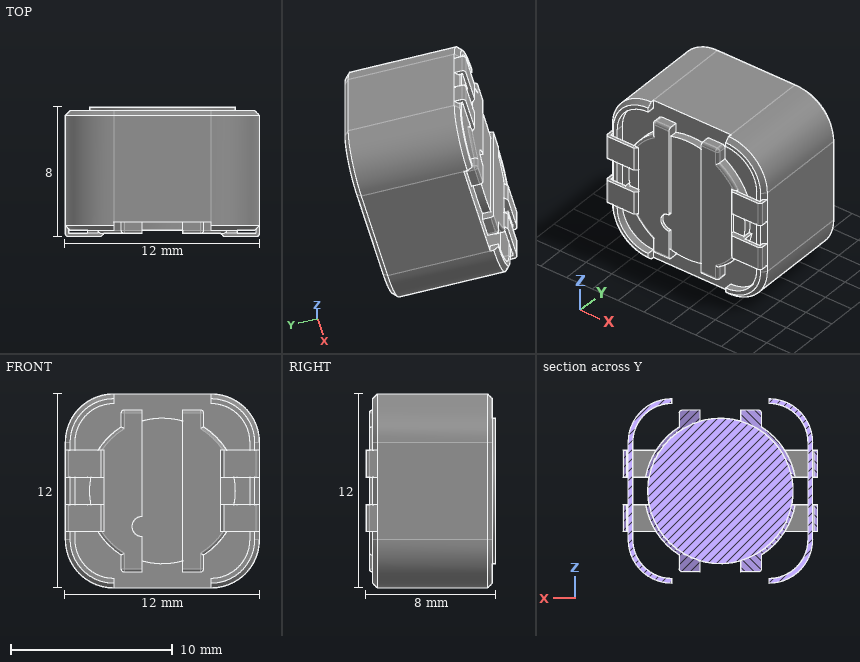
import cadquery as cq
import math

WIDTH = 12.0
HALF = WIDTH / 2
CORNER_RADIUS = 3.0
CAN_LENGTH = 7.4
CHAMFER = 0.3
RIM_WALL = 0.6
RECESS_DEPTH = 0.53
RIM_GAP_WIDTH = 2 * (HALF - CORNER_RADIUS)

CORE_RADIUS = 4.5
CORE_BACK_HEIGHT = 0.2

OVERALL_LENGTH = 8.0
STANDOFF = OVERALL_LENGTH - CAN_LENGTH - CORE_BACK_HEIGHT
PLATE_HEIGHT = 0.19
PLATE_RADIUS = 4.7
PLATE_INNER_X = 1.25
ARM_OUTER_X = 2.55
ARM_END_Z = 5.0
PLATE_FILLET = 0.19
PAD_EDGE_X = 3.6
CLIP_INNER_Z = 0.84
CLIP_OUTER_Z = 2.52
CLIP_THICKNESS = 0.23
CLIP_BEND_RADIUS = 0.2

NOTCH_RADIUS = 0.62
NOTCH_Z = -2.2

LEFT = -1
RIGHT = 1


def facing_plane(y):
    """XZ plane at height y whose normal points to -Y."""
    return cq.Workplane("XZ", origin=(0, y, 0))


def rounded_square(y, width, corner_radius, depth):
    """Rounded square prism that starts at y and runs depth towards -Y."""
    return facing_plane(y).rect(width, width).extrude(depth).edges("|Y").fillet(corner_radius)


def make_housing():
    can = rounded_square(CAN_LENGTH, WIDTH, CORNER_RADIUS, CAN_LENGTH)
    can = can.faces("<Y or >Y").chamfer(CHAMFER)

    recess = rounded_square(RECESS_DEPTH, WIDTH - 2 * RIM_WALL, CORNER_RADIUS - RIM_WALL, RECESS_DEPTH)
    rim_gap = facing_plane(RECESS_DEPTH).rect(RIM_GAP_WIDTH, WIDTH).extrude(RECESS_DEPTH)
    can = can.cut(recess).cut(rim_gap)

    core_length = CAN_LENGTH + CORE_BACK_HEIGHT
    core = facing_plane(core_length).circle(CORE_RADIUS).extrude(core_length)
    return can.union(core)


def plate_outline(side):
    """Bar with two straight ends and a round outer edge between them."""
    inner_x = side * PLATE_INNER_X
    outer_x = side * ARM_OUTER_X
    shoulder_z = math.sqrt(PLATE_RADIUS**2 - ARM_OUTER_X**2)
    return (
        facing_plane(RECESS_DEPTH)
        .moveTo(inner_x, -ARM_END_Z)
        .lineTo(outer_x, -ARM_END_Z)
        .lineTo(outer_x, -shoulder_z)
        .threePointArc((side * PLATE_RADIUS, 0), (outer_x, shoulder_z))
        .lineTo(outer_x, ARM_END_Z)
        .lineTo(inner_x, ARM_END_Z)
        .close()
    )


def make_plate(side):
    square_edged = plate_outline(side).extrude(RECESS_DEPTH + PLATE_HEIGHT)

    inner_edge = ">X" if side == LEFT else "<X"
    front_edges = square_edged.faces("<Y").edges(f"not {inner_edge}")
    arm_corners = square_edged.faces("<Z or >Z").edges("|Y").edges(f"not {inner_edge}")
    plate = front_edges.add(arm_corners).fillet(PLATE_FILLET)
    clip_band = cq.Workplane("XY").box(WIDTH, WIDTH, 2 * CLIP_OUTER_Z)
    plate = plate.union(square_edged.intersect(clip_band))

    opening = (
        cq.Workplane("XY")
        .box(HALF - PAD_EDGE_X, WIDTH, 2 * CLIP_INNER_Z)
        .translate((side * (HALF + PAD_EDGE_X) / 2, 0, 0))
    )
    plate = plate.cut(opening)

    core_seat = facing_plane(RECESS_DEPTH).circle(CORE_RADIUS).extrude(RECESS_DEPTH)
    return plate.cut(core_seat)


def make_clip(side, bottom_z):
    """L-shaped strip from the plate to the chamfered edge of the can."""
    front_y = -STANDOFF
    back_y = front_y + CLIP_THICKNESS
    wall_x = HALF - CLIP_THICKNESS
    bevel = STANDOFF - PLATE_HEIGHT
    profile = [
        (HALF, CHAMFER),
        (HALF, front_y),
        (PAD_EDGE_X + bevel, front_y),
        (PAD_EDGE_X, -PLATE_HEIGHT),
        (PAD_EDGE_X, back_y),
        (wall_x, back_y),
        (wall_x, CHAMFER - CLIP_THICKNESS),
    ]
    clip = (
        cq.Workplane("XY", origin=(0, 0, bottom_z))
        .polyline([(side * x, y) for x, y in profile])
        .close()
        .extrude(CLIP_OUTER_Z - CLIP_INNER_Z)
    )
    bend_point = (side * HALF, front_y, bottom_z)
    return clip.edges("|Z").edges(cq.selectors.NearestToPointSelector(bend_point)).fillet(CLIP_BEND_RADIUS)


def make_terminal(side):
    terminal = make_plate(side)
    for bottom_z in (CLIP_INNER_Z, -CLIP_OUTER_Z):
        terminal = terminal.union(make_clip(side, bottom_z))
    return terminal


def cut_polarity_notch(terminal):
    notch = (
        facing_plane(RECESS_DEPTH)
        .center(LEFT * PLATE_INNER_X, NOTCH_Z)
        .circle(NOTCH_RADIUS)
        .extrude(RECESS_DEPTH + PLATE_HEIGHT)
    )
    return terminal.cut(notch)


housing = make_housing()
left_terminal = cut_polarity_notch(make_terminal(LEFT))
right_terminal = make_terminal(RIGHT)

bodies = (housing, left_terminal, right_terminal)
result = cq.Compound.makeCompound([body.solids().val() for body in bodies])